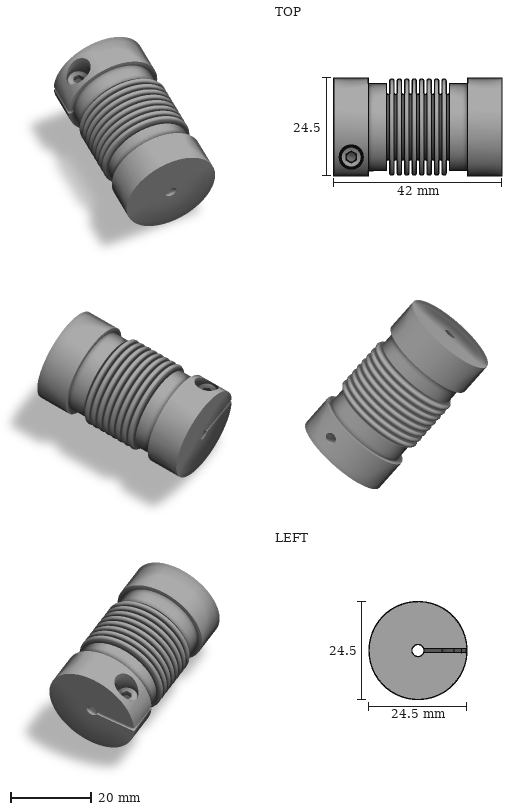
import cadquery as cq
import math

length = 42.0
hub_diameter = 24.5
hub_length = 8.6
neck_diameter = 21.8
neck_length = 4.58
bore_diameter = 3.0

crest_count = 8
bellows_diameter = 24.02
valley_diameter = 16.3
valley_width = 0.75
bellows_start = hub_length + neck_length
bellows_end = length - bellows_start
crest_pitch = (bellows_end - bellows_start - valley_width) / crest_count
crest_width = crest_pitch - valley_width

slit_height = 1.0

screw_x = 4.35
screw_y = -7.48
shank_diameter = 3.0
head_diameter = 5.5
head_height = 3.0
head_chamfer = 0.25
head_top = 6.0
screw_length = 10.0
socket_width = 2.5
socket_depth = 1.5
drill_point_angle = 120.0
hexagon_half_angle = 30.0

counterbore_diameter = 6.0
clearance_diameter = 3.4
thread_hole_diameter = 2.5
head_seat = head_top - head_height
screw_end = head_seat - screw_length


def x_cylinder(start, end, diameter):
    """Cylinder on the coupling axis between two X positions."""
    return cq.Workplane("YZ", origin=(start, 0, 0)).circle(diameter / 2).extrude(end - start)


def screw_cylinder(bottom, top, diameter):
    """Cylinder on the screw axis between two heights."""
    plane = cq.Workplane("XY", origin=(screw_x, screw_y, bottom))
    return plane.circle(diameter / 2).extrude(top - bottom)


def bellows():
    """Corrugated tube section, revolved from its wavy half profile."""
    valley_radius = valley_diameter / 2
    crest_radius = bellows_diameter / 2
    valley_round = valley_width / 2
    crest_round = crest_width / 2
    valley_wall = valley_radius + valley_round
    crest_wall = crest_radius - crest_round

    profile = cq.Workplane("XY").moveTo(bellows_start, 0).lineTo(bellows_start, valley_wall)
    x = bellows_start
    for _ in range(crest_count):
        profile = profile.threePointArc((x + valley_round, valley_radius), (x + valley_width, valley_wall))
        x += valley_width
        profile = profile.lineTo(x, crest_wall)
        profile = profile.threePointArc((x + crest_round, crest_radius), (x + crest_width, crest_wall))
        x += crest_width
        profile = profile.lineTo(x, valley_wall)
    profile = profile.threePointArc((x + valley_round, valley_radius), (bellows_end, valley_wall))
    profile = profile.lineTo(bellows_end, 0).close()
    return profile.revolve(360, (0, 0, 0), (1, 0, 0))


def coupling_body():
    """Two hubs with their necks, joined by the bellows and bored through."""
    body = x_cylinder(0, hub_length, hub_diameter)
    body = body.union(x_cylinder(hub_length, bellows_start, neck_diameter))
    body = body.union(bellows())
    body = body.union(x_cylinder(bellows_end, length - hub_length, neck_diameter))
    body = body.union(x_cylinder(length - hub_length, length, hub_diameter))
    return body.cut(x_cylinder(0, length, bore_diameter))


def clamp_slit():
    """Radial slit that lets the left hub close on the shaft."""
    slit_depth = hub_diameter / 2
    slit = cq.Workplane("XY").box(hub_length, slit_depth, slit_height)
    return slit.translate((hub_length / 2, -slit_depth / 2, 0))


def screw_hole():
    """Counterbore above the seat, clearance down to the slit, thread hole out below."""
    hole = screw_cylinder(head_seat, hub_diameter / 2, counterbore_diameter)
    hole = hole.union(screw_cylinder(0, head_seat, clearance_diameter))
    return hole.union(screw_cylinder(-hub_diameter / 2, 0, thread_hole_diameter))


def clamp_screw():
    """Socket head screw with a chamfered rim and a hexagon socket ending in a cone."""
    head = screw_cylinder(head_seat, head_top, head_diameter).faces(">Z").edges().chamfer(head_chamfer)
    screw = head.union(screw_cylinder(screw_end, head_seat, shank_diameter))

    socket_floor = head_top - socket_depth
    socket_corners = socket_width / math.cos(math.radians(hexagon_half_angle))
    socket = (
        cq.Workplane("XY", origin=(screw_x, screw_y, socket_floor))
        .transformed(rotate=(0, 0, hexagon_half_angle))
        .polygon(6, socket_corners)
        .extrude(socket_depth)
    )
    cone_depth = socket_width / 2 / math.tan(math.radians(drill_point_angle / 2))
    cone = cq.Solid.makeCone(
        socket_width / 2,
        0,
        cone_depth,
        pnt=cq.Vector(screw_x, screw_y, socket_floor),
        dir=cq.Vector(0, 0, -1),
    )
    return screw.cut(socket).cut(cq.Workplane(cone))


result = coupling_body().cut(clamp_slit()).cut(screw_hole()).union(clamp_screw())